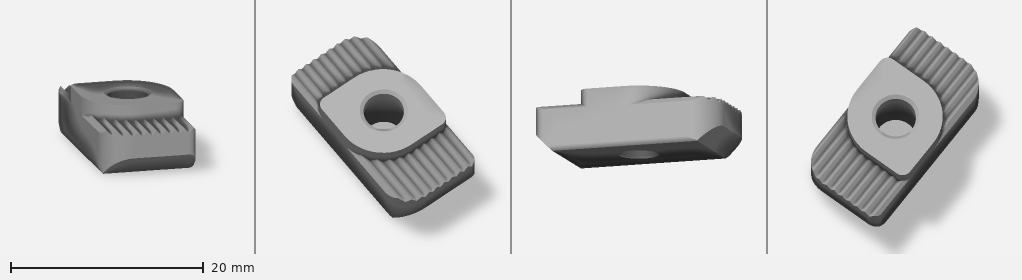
import cadquery as cq
import math

length = 19.8
width = 9.9
height = 6.3
crest_height = 4.8

body_large_radius = 3.0
small_radius = 0.99
boss_size = width
boss_large_radius = boss_size / 2

end_chamfer = 1.98
edge_round_height = 0.5
edge_round_inset = 0.28

hole_diameter = 4.2
hole_mouth_diameter = 4.99
hole_mouth_angle = 120.0
hole_y = 0.1

last_crest_y = 4.55
pitches_to_last_crest = 9.5
pitch = (width / 2 + last_crest_y) / pitches_to_last_crest
tooth_depth = pitch / 2
groove_count = math.ceil(pitches_to_last_crest)


def corner_block(size_x, size_y, block_height, large_radius):
    """Block with large corners at (-X, +Y) and (+X, -Y), small corners elsewhere."""
    x = size_x / 2
    y = size_y / 2
    block = cq.Workplane("XY").box(size_x, size_y, block_height, centered=(True, True, False))
    for corner, radius in [
        ((-x, y), large_radius),
        ((x, -y), large_radius),
        ((x, y), small_radius),
        ((-x, -y), small_radius),
    ]:
        nearest = cq.selectors.NearestToPointSelector((*corner, block_height / 2))
        block = block.edges("|Z").edges(nearest).fillet(radius)
    return block


def end_profile():
    """Side silhouette prism with both ends beveled underneath."""
    x = length / 2
    return (
        cq.Workplane("XZ")
        .moveTo(-x + end_chamfer, 0)
        .lineTo(x - end_chamfer, 0)
        .lineTo(x, end_chamfer)
        .lineTo(x, height)
        .lineTo(-x, height)
        .lineTo(-x, end_chamfer)
        .close()
        .extrude(width / 2, both=True)
    )


def edge_profile():
    """Cross-section prism with the two long bottom edges partly rounded.

    Each arc is tangent to the side wall and meets the underside at an angle.
    """
    y = width / 2
    bottom_y = y - edge_round_inset
    radius = (edge_round_height**2 + edge_round_inset**2) / (2 * edge_round_inset)
    return (
        cq.Workplane("YZ")
        .moveTo(-bottom_y, 0)
        .lineTo(bottom_y, 0)
        .radiusArc((y, edge_round_height), -radius)
        .lineTo(y, height)
        .lineTo(-y, height)
        .lineTo(-y, edge_round_height)
        .radiusArc((-bottom_y, 0), -radius)
        .close()
        .extrude(length / 2, both=True)
    )


def left_wing_grooves():
    """V grooves along the -X wing, counted from the +Y edge."""
    grooves = cq.Workplane("YZ")
    for index in range(groove_count + 1):
        root_y = width / 2 - index * pitch
        grooves = grooves.add(
            cq.Workplane("YZ")
            .moveTo(root_y - tooth_depth, crest_height)
            .lineTo(root_y, crest_height - tooth_depth)
            .lineTo(root_y + tooth_depth, crest_height)
            .close()
            .extrude(-length / 2)
        )
    return grooves.combine()


body = corner_block(length, width, crest_height, body_large_radius)
body = body.intersect(end_profile()).intersect(edge_profile())

left_grooves = left_wing_grooves()
right_grooves = left_grooves.rotate((0, 0, 0), (0, 0, 1), 180)
body = body.cut(left_grooves).cut(right_grooves)

boss_base = crest_height - tooth_depth
boss = corner_block(boss_size, boss_size, height - boss_base, boss_large_radius)
body = body.union(boss.translate((0, 0, boss_base)))

result = (
    body.faces(">Z")
    .workplane(origin=(0, hole_y, height))
    .cskHole(hole_diameter, hole_mouth_diameter, hole_mouth_angle)
)